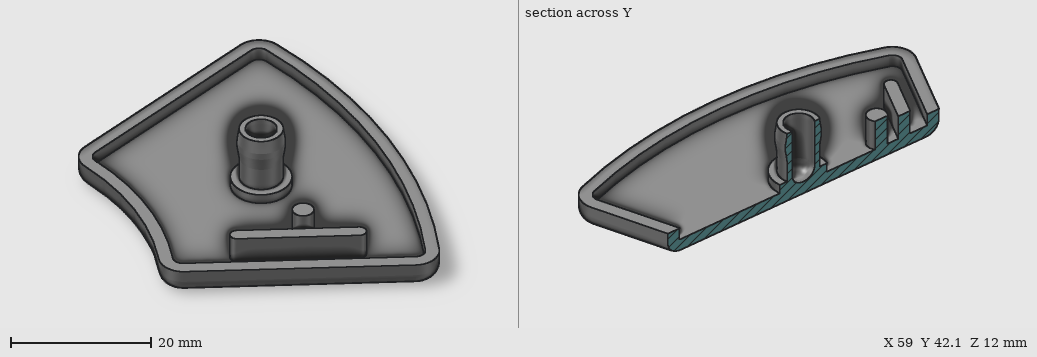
import cadquery as cq
import math

PEG_TO_SECTOR_CENTRE = 60.0
HALF_RADIAL_WIDTH = 20.0
OUTER_RADIUS = PEG_TO_SECTOR_CENTRE + HALF_RADIAL_WIDTH
INNER_RADIUS = PEG_TO_SECTOR_CENTRE - HALF_RADIAL_WIDTH
HALF_SECTOR_ANGLE = 22.5
CORNER_RADIUS = 3.5
TRAY_HEIGHT = 4.0
FLOOR_THICKNESS = 2.0
WALL_THICKNESS = 2.0
BOTTOM_FILLET = 2.2

COLLAR_RADIUS = 4.4
COLLAR_TOP = 3.5
PEG_RADIUS = 3.15
BULGE_RADIUS = 3.45
PEG_TOP = 12.0
BULGE_START = 7.0
BULGE_LOWER_EDGE = 9.0
BULGE_UPPER_EDGE = 10.0
BORE_RADIUS = 2.25
BORE_BOTTOM = FLOOR_THICKNESS
BORE_BOTTOM_FILLET = 2.0

PIN_RADIUS = 1.55
PIN_X = 14.0
PIN_TOP = 7.0

RIB_WIDTH = 2.0
RIB_LENGTH = 19.5
RIB_CENTRE_X = 17.55
RIB_CENTRE_Y = -2.45
RIB_TOP = 6.0
RIB_ANGLE_FROM_X = 90 - HALF_SECTOR_ANGLE


def sector_prism(inset, bottom, top):
    """Prism of the rounded sector outline, moved inwards by inset."""
    outer = OUTER_RADIUS - inset
    inner = INNER_RADIUS + inset
    half_angle = math.radians(HALF_SECTOR_ANGLE)

    def corner(radius):
        angle = half_angle - math.asin(inset / radius)
        return radius * math.sin(angle), radius * math.cos(angle) - PEG_TO_SECTOR_CENTRE

    outer_x, outer_y = corner(outer)
    inner_x, inner_y = corner(inner)
    return (
        cq.Workplane("XY", origin=(0, 0, bottom))
        .moveTo(-outer_x, outer_y)
        .threePointArc((0, outer - PEG_TO_SECTOR_CENTRE), (outer_x, outer_y))
        .lineTo(inner_x, inner_y)
        .threePointArc((0, inner - PEG_TO_SECTOR_CENTRE), (-inner_x, inner_y))
        .close()
        .extrude(top - bottom)
        .edges("|Z")
        .fillet(CORNER_RADIUS - inset)
    )


def make_tray():
    body = sector_prism(0, 0, TRAY_HEIGHT).faces("<Z").edges().fillet(BOTTOM_FILLET)
    return body.cut(sector_prism(WALL_THICKNESS, FLOOR_THICKNESS, TRAY_HEIGHT))


def make_peg():
    """Collar and bulged peg, turned about Z."""
    return (
        cq.Workplane("XZ")
        .moveTo(0, FLOOR_THICKNESS)
        .lineTo(COLLAR_RADIUS, FLOOR_THICKNESS)
        .lineTo(COLLAR_RADIUS, COLLAR_TOP)
        .lineTo(PEG_RADIUS, COLLAR_TOP)
        .lineTo(PEG_RADIUS, BULGE_START)
        .lineTo(BULGE_RADIUS, BULGE_LOWER_EDGE)
        .lineTo(BULGE_RADIUS, BULGE_UPPER_EDGE)
        .lineTo(PEG_RADIUS, PEG_TOP)
        .lineTo(0, PEG_TOP)
        .close()
        .revolve(360, (0, 0, 0), (0, 1, 0))
    )


def make_bore():
    """Blind bore of the peg, with a rounded bottom edge."""
    return (
        cq.Workplane("XY", origin=(0, 0, BORE_BOTTOM))
        .circle(BORE_RADIUS)
        .extrude(PEG_TOP - BORE_BOTTOM)
        .faces("<Z")
        .edges()
        .fillet(BORE_BOTTOM_FILLET)
    )


def make_pin():
    return (
        cq.Workplane("XY", origin=(PIN_X, 0, FLOOR_THICKNESS))
        .circle(PIN_RADIUS)
        .extrude(PIN_TOP - FLOOR_THICKNESS)
    )


def make_rib():
    return (
        cq.Workplane("XY", origin=(RIB_CENTRE_X, RIB_CENTRE_Y, FLOOR_THICKNESS))
        .slot2D(RIB_LENGTH, RIB_WIDTH, RIB_ANGLE_FROM_X)
        .extrude(RIB_TOP - FLOOR_THICKNESS)
    )


result = make_tray().union(make_peg()).union(make_pin()).union(make_rib()).cut(make_bore())